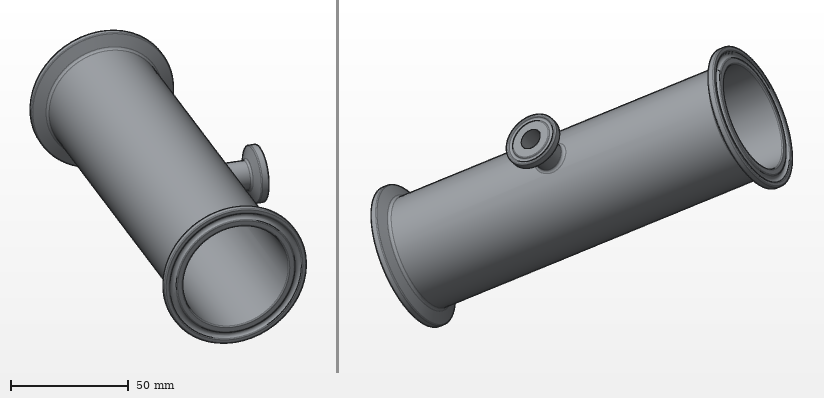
import cadquery as cq
import math

OVERALL_LENGTH = 174.7
TILT = 3.2

TUBE_OD = 50.8
TUBE_ID = 47.5
BORE_EDGE_ROUND = 0.5

FLANGE_OD = 64.0
RIM_WIDTH = 3.0
RIM_ROUND = 0.5
CONE_ANGLE = 20.0
NECK_FILLET = 1.4
GROOVE_INNER_D = 53.5
GROOVE_OUTER_D = 59.4
GROOVE_DEPTH = 1.4
GROOVE_EDGE_ROUND = 0.5

BRANCH_OD = 12.8
BRANCH_ID = 9.5
BRANCH_REACH = 41.2
BRANCH_JOINT_FILLET = 1.4
BRANCH_FLANGE_OD = 25.0
BRANCH_RIM_WIDTH = 3.5
BRANCH_NECK_FILLET = 1.0
BRANCH_GROOVE_INNER_D = 18.3
BRANCH_GROOVE_OUTER_D = 21.8
BRANCH_GROOVE_DEPTH = 0.9

tilt_radians = math.radians(TILT)
corner_offset = (FLANGE_OD / 2 - RIM_ROUND) * math.sin(tilt_radians) + RIM_ROUND
tube_length = 2 * (RIM_ROUND + (OVERALL_LENGTH / 2 - corner_offset) / math.cos(tilt_radians))


def ring_edges(body, diameter, height):
    """Circular edges of a body around Z that have this diameter and height."""
    tolerance = 0.02
    rings = [
        edge
        for edge in body.edges("%CIRCLE").vals()
        if abs(edge.radius() - diameter / 2) < tolerance
        and abs(edge.Center().z - height) < tolerance
    ]
    return body.newObject(rings)


def gasket_groove(inner_d, outer_d, depth):
    """Round-bottomed ring, sunk from the origin plane towards +Z."""
    inner_r = inner_d / 2
    outer_r = outer_d / 2
    return (
        cq.Workplane("XZ")
        .moveTo(inner_r, 0)
        .threePointArc(((inner_r + outer_r) / 2, depth), (outer_r, 0))
        .close()
        .revolve(360, (0, 0, 0), (0, 1, 0))
    )


def ferrule(flange_od, neck_od, rim_width, length, neck_fillet, groove):
    """Solid flange and neck along +Z, with the grooved clamp face at the origin."""
    flange_r = flange_od / 2
    neck_r = neck_od / 2
    groove_inner_d, groove_outer_d, groove_depth = groove
    cone_end = rim_width + (flange_r - neck_r) * math.tan(math.radians(CONE_ANGLE))
    outline = [
        (0, 0),
        (flange_r, 0),
        (flange_r, rim_width),
        (neck_r, cone_end),
        (neck_r, length),
        (0, length),
    ]
    body = cq.Workplane("XZ").polyline(outline).close().revolve(360, (0, 0, 0), (0, 1, 0))
    body = ring_edges(body, neck_od, cone_end).fillet(neck_fillet)
    body = ring_edges(body, flange_od, 0).fillet(RIM_ROUND)
    body = ring_edges(body, flange_od, rim_width).fillet(RIM_ROUND)
    body = body.cut(gasket_groove(groove_inner_d, groove_outer_d, groove_depth))
    for diameter in (groove_inner_d, groove_outer_d):
        body = ring_edges(body, diameter, 0).fillet(GROOVE_EDGE_ROUND)
    return body


def on_tube_end(shape):
    """Move a shape from the origin to the -X end of the tube, pointing inwards."""
    return shape.rotate((0, 0, 0), (0, 1, 0), 90).translate((-tube_length / 2, 0, 0))


def on_branch_end(shape):
    """Move a shape from the origin to the branch face, pointing at the tube axis."""
    return shape.rotate((0, 0, 0), (1, 0, 0), 90).translate((0, BRANCH_REACH, 0))


def tube():
    """Solid tube along X with a clamp flange on each end."""
    groove = (GROOVE_INNER_D, GROOVE_OUTER_D, GROOVE_DEPTH)
    half = on_tube_end(
        ferrule(FLANGE_OD, TUBE_OD, RIM_WIDTH, tube_length / 2, NECK_FILLET, groove)
    )
    return half.union(half.mirror("YZ"))


def add_branch(body):
    """Add the flanged branch on the +Y side of the solid tube and fillet its joint."""
    groove = (BRANCH_GROOVE_INNER_D, BRANCH_GROOVE_OUTER_D, BRANCH_GROOVE_DEPTH)
    branch = on_branch_end(
        ferrule(
            BRANCH_FLANGE_OD, BRANCH_OD, BRANCH_RIM_WIDTH, BRANCH_REACH, BRANCH_NECK_FILLET, groove
        )
    )
    root_size = BRANCH_OD + 2 * BRANCH_JOINT_FILLET
    root_box = cq.selectors.BoxSelector(
        (-root_size / 2, TUBE_ID / 2, -root_size / 2),
        (root_size / 2, TUBE_OD / 2 + BRANCH_JOINT_FILLET, root_size / 2),
        boundingbox=True,
    )
    return body.union(branch).edges(root_box).fillet(BRANCH_JOINT_FILLET)


def cut_bores(body):
    """Bore the tube from end to end and the branch into it, then round the tube bore ends."""
    branch_bore = on_branch_end(cq.Workplane("XY").circle(BRANCH_ID / 2).extrude(BRANCH_REACH))
    tube_bore = cq.Workplane("YZ").circle(TUBE_ID / 2).extrude(tube_length / 2, both=True)
    body = body.cut(branch_bore).cut(tube_bore)
    bore_edge = cq.selectors.RadiusNthSelector(0)
    for end_face in ("<X", ">X"):
        body = body.faces(end_face).edges(bore_edge).fillet(BORE_EDGE_ROUND)
    return body


body = cut_bores(add_branch(tube()))
result = body.rotate((0, 0, 0), (0, 1, 0), TILT)